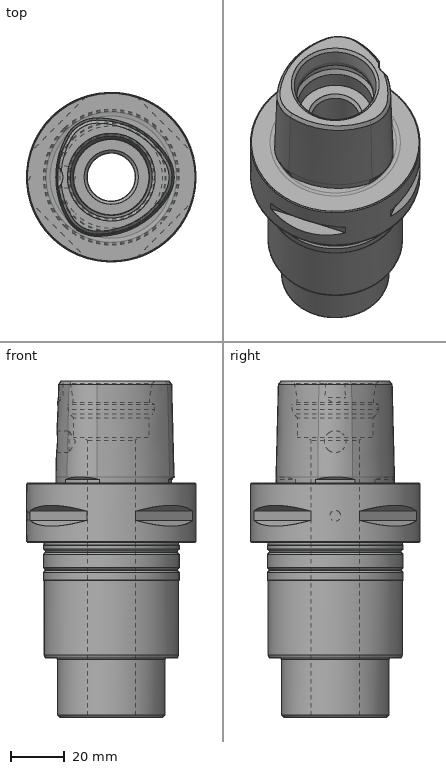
import cadquery as cq
import math

SHANK_LENGTH = 38.0
BODY_LENGTH = 87.0

GAUGE_RADIUS = 22.0
GAUGE_HEIGHT = 2.3
TAPER_SLOPE = 0.025
LOBE_CENTER_OFFSET = 10.4
LOBE_ANGLES = (0, 120, 240)
LOBE_HALF_ANGLE = 30
LOBE_RISE = LOBE_CENTER_OFFSET * (1 - math.cos(math.radians(LOBE_HALF_ANGLE)))
SHANK_CHAMFER_WIDTH = 1.1
SHANK_CHAMFER_HEIGHT = 1.4

RELIEF_NECK_RADIUS = 22.4
RELIEF_OUTER_RADIUS = 24.2
RELIEF_FLOOR_RADIUS = 22.7
RELIEF_DEPTH = 0.2

FLANGE_DIAMETER = 63.0
FLANGE_HEIGHT = 22.0
FLANGE_CHAMFER = 0.4

NOTCH_ANGLES = (45, 135, 225, 315)
NOTCH_FLAT_DISTANCE = 27.75
NOTCH_FLAT_HEIGHT = 3.4
NOTCH_FLANK_ANGLE = 30
NOTCH_Z = -12.1

BODY_DIAMETER = 50.0
BODY_END_Z = -64.9
BODY_END_CHAMFER = 0.5
BODY_END_CHAMFER_HEIGHT = 1.2
COLLAR_DIAMETER = 50.5
COLLAR_TOP_Z = -22.9
COLLAR_BOTTOM_Z = -36.2
RING_GROOVES = ((-24.4, -26.4), (-31.4, -33.1))
RING_GROOVE_DEPTH = 0.75
NOSE_DIAMETER = 40.0
NOSE_CHAMFER = 1.0
NOSE_ROOT_WIDTH = 0.3
NOSE_ROOT_HEIGHT = 0.6

MOUTH_CHAMFER_RADIUS = 16.3
MOUTH_RADIUS = 15.2
MOUTH_CHAMFER_DEPTH = 1.0
MOUTH_END_RADIUS = 14.2
MOUTH_END_DEPTH = 6.6
GRIP_GROOVE_DIAMETER = 32.0
GRIP_LAND_END_DEPTH = 8.1
GRIP_GROOVE_TOP_DEPTH = 8.8
GRIP_GROOVE_BOTTOM_DEPTH = 10.7
CAVITY_CHAMFER_RADIUS = 15.4
CAVITY_CHAMFER_DEPTH = 12.4
CAVITY_DIAMETER = 28.0
CAVITY_DEPTH = 21.0
THROUGH_DIAMETER = 17.84
THROUGH_CHAMFER = 1.15

DRILL_POINT_ANGLE = 118
KEY_DIAMETER = 10.0
KEY_POINT_ANGLE = 90
KEY_CENTER_X = -22.95
KEY_DEPTH = 6.2
SHANK_HOLE_DIAMETER = 8.1
SHANK_HOLE_DEPTH = 4.6
SHANK_HOLE_Z = 15.4
FLANGE_HOLE_DIAMETER = 4.0
FLANGE_HOLE_DEPTH = 0.3
SIDE_HOLE_OVERRUN = 1.0


def polar(radius, angle):
    """Point at the given radius and angle (degrees) about the axis."""
    return (radius * math.cos(math.radians(angle)), radius * math.sin(math.radians(angle)))


def shifted(center, radius, angle):
    """Point at the given radius and angle about a centre."""
    dx, dy = polar(radius, angle)
    return (center[0] + dx, center[1] + dy)


def polygon_wire(mean_radius, z):
    """Three-lobed outline of lobe arcs and flank arcs at height z."""
    lobe_radius = mean_radius + LOBE_RISE - LOBE_CENTER_OFFSET
    flank_radius = 2 * mean_radius - lobe_radius
    first_lobe = polar(LOBE_CENTER_OFFSET, LOBE_ANGLES[0])
    outline = cq.Workplane("XY", origin=(0, 0, z))
    outline = outline.moveTo(*shifted(first_lobe, lobe_radius, LOBE_ANGLES[0] - LOBE_HALF_ANGLE))
    for angle in LOBE_ANGLES:
        lobe = polar(LOBE_CENTER_OFFSET, angle)
        flank_angle = angle + 2 * LOBE_HALF_ANGLE
        flank = polar(LOBE_CENTER_OFFSET, flank_angle + 180)
        outline = outline.threePointArc(
            shifted(lobe, lobe_radius, angle),
            shifted(lobe, lobe_radius, angle + LOBE_HALF_ANGLE),
        )
        outline = outline.threePointArc(
            shifted(flank, flank_radius, flank_angle),
            shifted(flank, flank_radius, flank_angle + LOBE_HALF_ANGLE),
        )
    return outline.close().wire().val()


def polygon_loft(lower_radius, lower_z, upper_radius, upper_z):
    """Ruled solid between two polygon outlines."""
    wires = [polygon_wire(lower_radius, lower_z), polygon_wire(upper_radius, upper_z)]
    return cq.Workplane(obj=cq.Solid.makeLoft(wires, True))


def revolved(points):
    """Solid of revolution about Z from (radius, z) points."""
    return cq.Workplane("XZ").polyline(points).close().revolve(360, (0, 0), (0, 1))


def make_shank():
    """Tapered polygon with a chamfered tip and a turned relief neck."""
    chamfer_z = SHANK_LENGTH - SHANK_CHAMFER_HEIGHT
    chamfer_radius = GAUGE_RADIUS - TAPER_SLOPE * (chamfer_z - GAUGE_HEIGHT)
    base = polygon_loft(GAUGE_RADIUS, -RELIEF_DEPTH, GAUGE_RADIUS, GAUGE_HEIGHT)
    taper = polygon_loft(GAUGE_RADIUS, GAUGE_HEIGHT, chamfer_radius, chamfer_z)
    tip = polygon_loft(chamfer_radius, chamfer_z, chamfer_radius - SHANK_CHAMFER_WIDTH, SHANK_LENGTH)
    lobe_reach = GAUGE_RADIUS + LOBE_RISE
    envelope = revolved([
        (0, -RELIEF_DEPTH),
        (RELIEF_NECK_RADIUS, -RELIEF_DEPTH),
        (RELIEF_NECK_RADIUS, GAUGE_HEIGHT - (lobe_reach - RELIEF_NECK_RADIUS)),
        (lobe_reach, GAUGE_HEIGHT),
        (0, GAUGE_HEIGHT),
    ])
    return base.intersect(envelope).union(taper).union(tip)


def make_body():
    """Turned outside of the flange, collar, body and nose."""
    flange_radius = FLANGE_DIAMETER / 2
    body_radius = BODY_DIAMETER / 2
    nose_radius = NOSE_DIAMETER / 2
    collar_radius = COLLAR_DIAMETER / 2
    collar_step = collar_radius - body_radius
    return revolved([
        (0, -RELIEF_DEPTH),
        (RELIEF_FLOOR_RADIUS, -RELIEF_DEPTH),
        (RELIEF_OUTER_RADIUS, 0),
        (flange_radius - FLANGE_CHAMFER, 0),
        (flange_radius, -FLANGE_CHAMFER),
        (flange_radius, FLANGE_CHAMFER - FLANGE_HEIGHT),
        (flange_radius - FLANGE_CHAMFER, -FLANGE_HEIGHT),
        (body_radius, -FLANGE_HEIGHT),
        (body_radius, COLLAR_TOP_Z),
        (collar_radius, COLLAR_TOP_Z - collar_step),
        (collar_radius, COLLAR_BOTTOM_Z + collar_step),
        (body_radius, COLLAR_BOTTOM_Z),
        (body_radius, BODY_END_Z + BODY_END_CHAMFER_HEIGHT),
        (body_radius - BODY_END_CHAMFER, BODY_END_Z),
        (nose_radius + NOSE_ROOT_WIDTH, BODY_END_Z),
        (nose_radius, BODY_END_Z - NOSE_ROOT_HEIGHT),
        (nose_radius, NOSE_CHAMFER - BODY_LENGTH),
        (nose_radius - NOSE_CHAMFER, -BODY_LENGTH),
        (0, -BODY_LENGTH),
    ])


def ring_groove(upper_z, lower_z):
    """Groove with 45 degree flanks around the collar."""
    outer = COLLAR_DIAMETER / 2
    inner = outer - RING_GROOVE_DEPTH
    return revolved([
        (outer, upper_z),
        (inner, upper_z - RING_GROOVE_DEPTH),
        (inner, lower_z + RING_GROOVE_DEPTH),
        (outer, lower_z),
    ])


def gripper_notch(angle):
    """Straight notch with a flat floor and sloping flanks across the flange rim."""
    depth = FLANGE_DIAMETER / 2 - NOTCH_FLAT_DISTANCE
    half_floor = NOTCH_FLAT_HEIGHT / 2
    half_mouth = half_floor + depth * math.tan(math.radians(NOTCH_FLANK_ANGLE))
    profile = [
        (NOTCH_FLAT_DISTANCE, NOTCH_Z - half_floor),
        (NOTCH_FLAT_DISTANCE + depth, NOTCH_Z - half_mouth),
        (NOTCH_FLAT_DISTANCE + depth, NOTCH_Z + half_mouth),
        (NOTCH_FLAT_DISTANCE, NOTCH_Z + half_floor),
    ]
    notch = cq.Workplane("XZ").polyline(profile).close().extrude(FLANGE_DIAMETER / 2, both=True)
    return notch.rotate((0, 0, 0), (0, 0, 1), angle)


def make_bore():
    """Stepped bore: tapered mouth, grip groove, cavity and through hole."""
    cavity_radius = CAVITY_DIAMETER / 2
    groove_radius = GRIP_GROOVE_DIAMETER / 2
    through_radius = THROUGH_DIAMETER / 2
    chamfer_z = SHANK_LENGTH - CAVITY_CHAMFER_DEPTH
    floor_z = SHANK_LENGTH - CAVITY_DEPTH
    return revolved([
        (0, SHANK_LENGTH),
        (MOUTH_CHAMFER_RADIUS, SHANK_LENGTH),
        (MOUTH_RADIUS, SHANK_LENGTH - MOUTH_CHAMFER_DEPTH),
        (MOUTH_END_RADIUS, SHANK_LENGTH - MOUTH_END_DEPTH),
        (MOUTH_END_RADIUS, SHANK_LENGTH - GRIP_LAND_END_DEPTH),
        (groove_radius, SHANK_LENGTH - GRIP_GROOVE_TOP_DEPTH),
        (groove_radius, SHANK_LENGTH - GRIP_GROOVE_BOTTOM_DEPTH),
        (CAVITY_CHAMFER_RADIUS, chamfer_z),
        (cavity_radius, chamfer_z - (CAVITY_CHAMFER_RADIUS - cavity_radius)),
        (cavity_radius, floor_z),
        (through_radius + THROUGH_CHAMFER, floor_z),
        (through_radius, floor_z - THROUGH_CHAMFER),
        (through_radius, -BODY_LENGTH),
        (0, -BODY_LENGTH),
    ])


def drill(diameter, depth, point_angle):
    """Drill shape along -Z: full diameter from Z = 0 to the depth, then a conical point."""
    radius = diameter / 2
    point_length = radius / math.tan(math.radians(point_angle / 2))
    return revolved([(0, 0), (radius, 0), (radius, -depth), (0, -depth - point_length)])


def key_slot():
    """Vertical drilled key slot, open to the -X flank and the shank top."""
    return drill(KEY_DIAMETER, KEY_DEPTH, KEY_POINT_ANGLE).translate((KEY_CENTER_X, 0, SHANK_LENGTH))


def side_hole(diameter, depth, surface_x, z):
    """Blind hole drilled along +X from the surface at surface_x."""
    hole = drill(diameter, depth + SIDE_HOLE_OVERRUN, DRILL_POINT_ANGLE)
    hole = hole.rotate((0, 0, 0), (0, 1, 0), -90)
    return hole.translate((surface_x - SIDE_HOLE_OVERRUN, 0, z))


flank_x = LOBE_RISE + TAPER_SLOPE * (SHANK_HOLE_Z - GAUGE_HEIGHT) - GAUGE_RADIUS

result = make_body().union(make_shank())
for upper_edge, lower_edge in RING_GROOVES:
    result = result.cut(ring_groove(upper_edge, lower_edge))
for notch_angle in NOTCH_ANGLES:
    result = result.cut(gripper_notch(notch_angle))
result = result.cut(make_bore())
result = result.cut(key_slot())
result = result.cut(side_hole(SHANK_HOLE_DIAMETER, SHANK_HOLE_DEPTH, flank_x, SHANK_HOLE_Z))
result = result.cut(side_hole(FLANGE_HOLE_DIAMETER, FLANGE_HOLE_DEPTH, -FLANGE_DIAMETER / 2, NOTCH_Z))